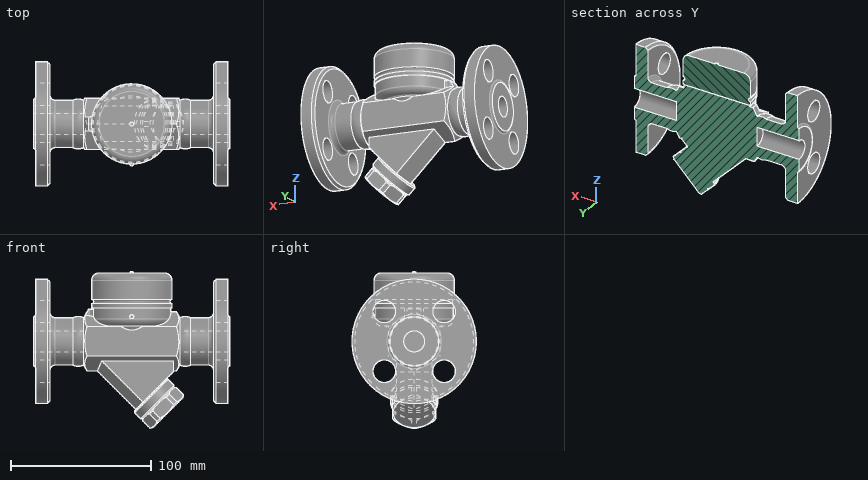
import cadquery as cq
import math

LENGTH = 140.0
BORE_DIAMETER = 15.0
PIPE_RADIUS = 34.0 / 2

FLANGE_RADIUS = 89.0 / 2
FLANGE_FACE_X = 68.6
FLANGE_BACK_X = 58.3
FLANGE_CHAMFER = 2.0
RAISED_FACE_RADIUS = 35.1 / 2
RAISED_FACE_ROOT_RADIUS = 38.8 / 2
RAISED_FACE_HOLLOW = 0.3
BOLT_HOLE_DIAMETER = 16.0
BOLT_CIRCLE_DIAMETER = 60.3
BOLT_HOLE_COUNT = 4
BOLT_HOLE_ANGLE = 45.0
HUB_ROOT_RADIUS = 40.0 / 2
HUB_END_X = 54.7
HUB_HOLLOW = 0.8

BEAD_RADIUS = 17.9
BEAD_OUTER_X = 42.1

BODY_END_X = 34.4
BODY_CORNER_RADIUS = 21.2
BODY_CHAMFER_ANGLE = 60.0

PAD_HALF_WIDTH = 5.0
PAD_ROOT_HALF_WIDTH = 8.5
PAD_TOP_Z = 23.0
PAD_FLARE_START_X = -30.5
PAD_FLARE_END_X = -26.5

CAP_SEAT_Z = 24.0
BOWL_RADIUS = 56.0 / 2
BOWL_CORNER_ROUND = 5.0
BOWL_BOTTOM_RADIUS = 20.0
BOWL_BOTTOM_Z = 10.9
BOWL_ROOT_RADIUS = 18.3
BOWL_ROOT_Z = 8.0

CAP_RADIUS = 57.5 / 2
CAP_TOP_Z = 49.0
CAP_CORNER_RADIUS = 5.5
CAP_GROOVE_TOP_Z = 30.0
CAP_GROOVE_BOTTOM_Z = 26.9
CAP_GROOVE_DEPTH = 1.4

PIP_DIAMETER = 3.0
CAP_PIP_TOP_Z = 49.95
BOWL_PIP_Z = 17.7
BOWL_PIP_TIP_Y = -30.1

BRANCH_AXIS_X = -25.0
BRANCH_CORNER_RADIUS = 14.66
BRANCH_END_DISTANCE = 54.1
BRANCH_WALL_X = 29.8
PLUG_COLLAR_RADIUS = 34.0 / 2
PLUG_COLLAR_CHAMFER = 1.0
PLUG_COLLAR_LENGTH = 8.2
PLUG_HEX_FLATS = 31.0
PLUG_HEX_ROUND_DIAMETER = 33.91
PLUG_HEX_LENGTH = 9.65
PLUG_HEX_INNER_CHAMFER = 1.0
PLUG_HEX_END_CHAMFER_WIDTH = 1.9
PLUG_HEX_END_CHAMFER_HEIGHT = 1.1

HALF_LENGTH = LENGTH / 2
COS_30 = math.cos(math.radians(30))
BODY_HALF_FLATS = BODY_CORNER_RADIUS * COS_30
BRANCH_HALF_FLATS = BRANCH_CORNER_RADIUS * COS_30
BODY_CHAMFER_SLOPE = math.tan(math.radians(BODY_CHAMFER_ANGLE))
BRANCH_PLANE = cq.Plane(origin=(BRANCH_AXIS_X, 0, 0), xDir=(-1, 0, -1), normal=(1, 0, -1))
BRANCH_INNER_FACE = cq.selectors.DirectionMinMaxSelector(BRANCH_PLANE.zDir, False)
BRANCH_OUTER_FACE = cq.selectors.DirectionMinMaxSelector(BRANCH_PLANE.zDir, True)


def revolve_about_z(profile):
    """Close a profile of (radius, height) points and turn it about the Z axis."""
    return profile.close().revolve(360, (0, 0, 0), (0, 1, 0))


def hexagon_prism(plane, corner_radius, length):
    """Hexagonal prism with a corner on the plane's local X axis."""
    return cq.Workplane(plane).polygon(6, 2 * corner_radius).extrude(length)


def hollow_middle(start, end, depth):
    """Middle point of a hollow arc, sunk towards the pipe axis by depth from its chord."""
    run = abs(end[0] - start[0])
    rise = abs(end[1] - start[1])
    chord = math.hypot(run, rise)
    slope_sign = math.copysign(1, (end[0] - start[0]) * (end[1] - start[1]))
    x = (start[0] + end[0]) / 2 + slope_sign * depth * rise / chord
    radius = (start[1] + end[1]) / 2 - depth * run / chord
    return (x, radius)


def make_pipe_end():
    """Flange, hub, pipe and weld bead at the +X end, still without holes."""
    face_middle = hollow_middle(
        (HALF_LENGTH, RAISED_FACE_RADIUS), (FLANGE_FACE_X, RAISED_FACE_ROOT_RADIUS), RAISED_FACE_HOLLOW
    )
    hub_middle = hollow_middle((FLANGE_BACK_X, HUB_ROOT_RADIUS), (HUB_END_X, PIPE_RADIUS), HUB_HOLLOW)
    profile = (
        cq.Workplane("XY")
        .moveTo(0, 0)
        .lineTo(HALF_LENGTH, 0)
        .lineTo(HALF_LENGTH, RAISED_FACE_RADIUS)
        .threePointArc(face_middle, (FLANGE_FACE_X, RAISED_FACE_ROOT_RADIUS))
        .lineTo(FLANGE_FACE_X, FLANGE_RADIUS)
        .lineTo(FLANGE_BACK_X + FLANGE_CHAMFER, FLANGE_RADIUS)
        .lineTo(FLANGE_BACK_X, FLANGE_RADIUS - FLANGE_CHAMFER)
        .lineTo(FLANGE_BACK_X, HUB_ROOT_RADIUS)
        .threePointArc(hub_middle, (HUB_END_X, PIPE_RADIUS))
        .lineTo(BEAD_OUTER_X, PIPE_RADIUS)
        .threePointArc(((BEAD_OUTER_X + BODY_END_X) / 2, BEAD_RADIUS), (BODY_END_X, PIPE_RADIUS))
        .lineTo(0, PIPE_RADIUS)
        .close()
    )
    return profile.revolve(360, (0, 0, 0), (1, 0, 0))


def make_hexagon_body():
    """Hexagonal bar along X plus the top pad, both trimmed by a cone at each end."""
    side = cq.Plane(origin=(-BODY_END_X, 0, 0), xDir=(0, 0, 1), normal=(1, 0, 0))
    bar = hexagon_prism(side, BODY_CORNER_RADIUS, 2 * BODY_END_X)
    body = bar.union(make_pad())
    largest_radius = PIPE_RADIUS + BODY_END_X * BODY_CHAMFER_SLOPE
    envelope = (
        cq.Workplane("XY")
        .polyline([(-BODY_END_X, 0), (-BODY_END_X, PIPE_RADIUS), (0, largest_radius),
                   (BODY_END_X, PIPE_RADIUS), (BODY_END_X, 0)])
        .close()
        .revolve(360, (0, 0, 0), (1, 0, 0))
    )
    return body.intersect(envelope)


def make_pad():
    """Upright pad at the inlet end that flares where it runs into the bowl."""
    outline = (
        cq.Workplane("XY")
        .moveTo(-BODY_END_X, 0)
        .lineTo(-BODY_END_X, PAD_HALF_WIDTH)
        .lineTo(PAD_FLARE_START_X, PAD_HALF_WIDTH)
        .tangentArcPoint((PAD_FLARE_END_X, PAD_ROOT_HALF_WIDTH), relative=False)
        .lineTo(PAD_FLARE_END_X, 0)
        .mirrorX()
    )
    return outline.extrude(PAD_TOP_Z)


def make_bowl():
    """Round bowl that carries the cap and runs down into the hexagonal body."""
    profile = (
        cq.Workplane("XZ")
        .moveTo(0, 0)
        .lineTo(0, CAP_SEAT_Z)
        .lineTo(BOWL_RADIUS, CAP_SEAT_Z)
        .lineTo(BOWL_RADIUS, BOWL_BOTTOM_Z + BOWL_CORNER_ROUND)
        .radiusArc((BOWL_RADIUS - BOWL_CORNER_ROUND, BOWL_BOTTOM_Z), BOWL_CORNER_ROUND)
        .lineTo(BOWL_BOTTOM_RADIUS, BOWL_BOTTOM_Z)
        .lineTo(BOWL_ROOT_RADIUS, BOWL_ROOT_Z)
        .lineTo(BOWL_ROOT_RADIUS, 0)
    )
    return revolve_about_z(profile)


def make_pip(tip, inward):
    """Small ball whose outermost point is at tip."""
    radius = PIP_DIAMETER / 2
    center = tuple(t + radius * i for t, i in zip(tip, inward))
    return cq.Workplane("XY").sphere(radius).translate(center)


def make_branch():
    """Strainer branch: hexagonal underside, with a web of the same width filling in above it."""
    hexagon = hexagon_prism(BRANCH_PLANE, BRANCH_CORNER_RADIUS, BRANCH_END_DISTANCE)
    web = (
        cq.Workplane(BRANCH_PLANE)
        .center(BRANCH_CORNER_RADIUS / 2 - BRANCH_END_DISTANCE, 0)
        .rect(2 * BRANCH_END_DISTANCE, 2 * BRANCH_HALF_FLATS)
        .extrude(BRANCH_END_DISTANCE)
    )
    limits = (
        cq.Workplane("XZ", origin=(0, BODY_HALF_FLATS, 0))
        .moveTo(-BODY_END_X, -BODY_CORNER_RADIUS / 2)
        .lineTo(BRANCH_WALL_X, -BODY_CORNER_RADIUS / 2)
        .lineTo(BRANCH_WALL_X, -2 * BRANCH_END_DISTANCE)
        .lineTo(-BODY_END_X, -2 * BRANCH_END_DISTANCE)
        .close()
        .extrude(2 * BODY_HALF_FLATS)
    )
    return hexagon.union(web).intersect(limits)


def make_plug():
    """Plug at the branch end: chamfered collar and hexagon head with rounded corners."""
    collar = (
        cq.Workplane(BRANCH_PLANE)
        .workplane(offset=BRANCH_END_DISTANCE)
        .circle(PLUG_COLLAR_RADIUS)
        .extrude(PLUG_COLLAR_LENGTH)
        .edges("%CIRCLE")
        .chamfer(PLUG_COLLAR_CHAMFER)
    )
    head_start = BRANCH_END_DISTANCE + PLUG_COLLAR_LENGTH
    rounding = (
        cq.Workplane(BRANCH_PLANE)
        .workplane(offset=head_start)
        .circle(PLUG_HEX_ROUND_DIAMETER / 2)
        .extrude(PLUG_HEX_LENGTH)
        .faces(BRANCH_INNER_FACE)
        .chamfer(PLUG_HEX_INNER_CHAMFER)
        .faces(BRANCH_OUTER_FACE)
        .chamfer(PLUG_HEX_END_CHAMFER_HEIGHT, PLUG_HEX_END_CHAMFER_WIDTH)
    )
    head = (
        cq.Workplane(BRANCH_PLANE)
        .workplane(offset=head_start)
        .polygon(6, PLUG_HEX_FLATS / COS_30)
        .extrude(PLUG_HEX_LENGTH)
        .intersect(rounding)
    )
    return collar.union(head)


def cut_end_holes(pipe_end):
    """Drill the bolt holes and the blind bore into the +X pipe end."""
    bolt_holes = (
        cq.Workplane("YZ")
        .polarArray(BOLT_CIRCLE_DIAMETER / 2, BOLT_HOLE_ANGLE, 360, BOLT_HOLE_COUNT)
        .circle(BOLT_HOLE_DIAMETER / 2)
        .extrude(HALF_LENGTH)
    )
    bore = (
        cq.Workplane("YZ")
        .workplane(offset=BODY_END_X)
        .circle(BORE_DIAMETER / 2)
        .extrude(HALF_LENGTH - BODY_END_X)
    )
    return pipe_end.cut(bolt_holes).cut(bore)


def make_body():
    """Valve body with its bowl, branch, plug and two flanged pipe ends, all one solid."""
    body = make_hexagon_body().union(make_bowl()).union(make_branch()).union(make_plug())
    body = body.union(make_pip((0, BOWL_PIP_TIP_Y, BOWL_PIP_Z), (0, 1, 0)))
    pipe_end = cut_end_holes(make_pipe_end())
    return body.union(pipe_end).union(pipe_end.mirror("YZ"))


def make_cap():
    """Round cap with a rounded top edge and a groove around its skirt."""
    groove_middle = (CAP_RADIUS - CAP_GROOVE_DEPTH, (CAP_GROOVE_TOP_Z + CAP_GROOVE_BOTTOM_Z) / 2)
    profile = (
        cq.Workplane("XZ")
        .moveTo(0, CAP_SEAT_Z)
        .lineTo(CAP_RADIUS, CAP_SEAT_Z)
        .lineTo(CAP_RADIUS, CAP_GROOVE_BOTTOM_Z)
        .threePointArc(groove_middle, (CAP_RADIUS, CAP_GROOVE_TOP_Z))
        .lineTo(CAP_RADIUS, CAP_TOP_Z - CAP_CORNER_RADIUS)
        .radiusArc((CAP_RADIUS - CAP_CORNER_RADIUS, CAP_TOP_Z), -CAP_CORNER_RADIUS)
        .lineTo(0, CAP_TOP_Z)
    )
    return revolve_about_z(profile).union(make_pip((0, 0, CAP_PIP_TOP_Z), (0, 0, -1)))


body = make_body()
cap = make_cap()

result = cq.Compound.makeCompound([body.val(), cap.val()])